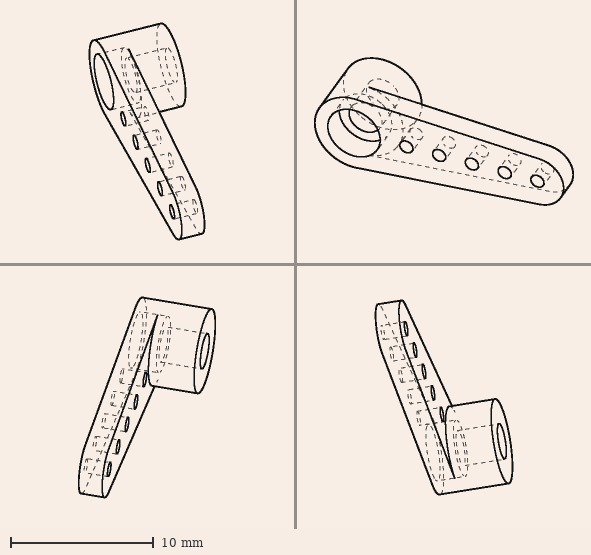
import cadquery as cq
import math

hub_radius = 3.0
hub_length = 5.0
tip_radius = 2.0
tip_distance = 14.0
arm_thickness = 1.7
bore_diameter = 2.5
counterbore_diameter = 4.0
counterbore_depth = 2.0
link_hole_diameter = 1.0
link_hole_pitch = 2.5
link_hole_count = 5


def cylinder(x, radius, length):
    """Cylinder along +Y that starts on the front face at y = 0."""
    return cq.Workplane("XZ").center(x, 0).circle(radius).extrude(-length)


def make_arm():
    """Flat arm whose straight sides run from the top and bottom of the hub, tangent to the round tip."""
    reach = math.hypot(tip_distance, hub_radius)
    side_slope = math.acos(tip_radius / reach) - math.atan2(tip_distance, hub_radius)
    tip_x = tip_distance + tip_radius * math.sin(side_slope)
    tip_z = tip_radius * math.cos(side_slope)
    return (
        cq.Workplane("XZ")
        .moveTo(0, hub_radius)
        .lineTo(tip_x, tip_z)
        .threePointArc((tip_distance + tip_radius, 0), (tip_x, -tip_z))
        .lineTo(0, -hub_radius)
        .close()
        .extrude(-arm_thickness)
    )


def cut_hub_bore(body):
    """Through bore with a counterbore opening on the front face."""
    bore = cylinder(0, bore_diameter / 2, hub_length)
    counterbore = cylinder(0, counterbore_diameter / 2, counterbore_depth)
    return body.cut(bore).cut(counterbore)


def cut_link_holes(body):
    """Evenly spaced through holes, the last one centred on the round tip."""
    for index in range(link_hole_count):
        hole_x = tip_distance - index * link_hole_pitch
        body = body.cut(cylinder(hole_x, link_hole_diameter / 2, arm_thickness))
    return body


hub = cylinder(0, hub_radius, hub_length)
result = cut_link_holes(cut_hub_bore(hub.union(make_arm())))